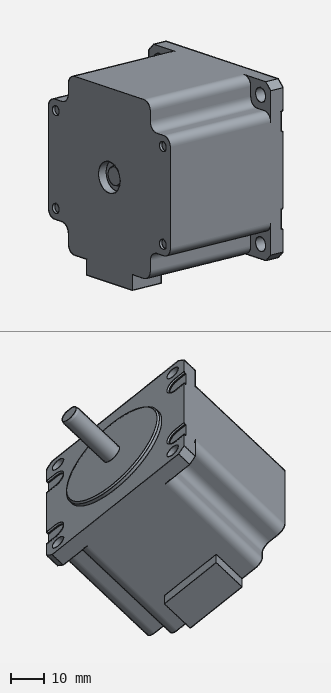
import cadquery as cq


total_length = 65.6
body_length = 45.0
flange_thickness = 5.0
pilot_height = 1.6
flange_rear = body_length - flange_thickness
pilot_front = body_length + pilot_height

frame_side = 56.4
half_side = frame_side / 2
frame_chamfer = 2.3

relief_depth = 9.25
relief_radius = 3.0

mount_spacing = 47.05
mount_diameter = 4.6

screw_spacing_x = 49.45
screw_spacing_z = 30.8
screw_hole_diameter = 3.1
screw_hole_depth = 1.0
screw_pocket_width = 6.15
screw_pocket_depth = 0.8
screw_pocket_chamfer = 0.45
bevel_angle = 45

pilot_diameter = 38.1
pilot_chamfer = 0.5

shaft_diameter = 6.35
shaft_radius = shaft_diameter / 2
shaft_chamfer_length = 1.0
shaft_chamfer_inset = 0.25
flat_length = 15.1
flat_depth = 0.5

recess_diameter = 9.9
recess_depth = 3.0

connector_width = 21.25
connector_length = 11.55
connector_drop = 5.0


def section(y):
    """Sketch plane across the motor axis at height y: X right, Z up, extruding toward -Y."""
    return cq.Workplane("XZ", origin=(0, y, 0))


def corner_relief(sign_x, sign_z):
    """Material removed at one corner of the body, with an S-shaped wall on either side."""
    wall = half_side - relief_depth
    tangent = wall - relief_radius
    bend = wall + relief_radius
    edge = half_side - relief_radius
    arc_mid = relief_radius * (1 - 0.5 ** 0.5)
    path = [
        (tangent, half_side),
        (wall - arc_mid, half_side - arc_mid),
        (wall, edge),
        (wall, bend),
        (wall + arc_mid, wall + arc_mid),
        (bend, wall),
        (edge, wall),
        (half_side - arc_mid, wall - arc_mid),
        (half_side, tangent),
    ]
    points = [(sign_x * x, sign_z * z) for x, z in path]
    return (
        section(flange_rear)
        .moveTo(*points[0])
        .threePointArc(points[1], points[2])
        .lineTo(*points[3])
        .threePointArc(points[4], points[5])
        .lineTo(*points[6])
        .threePointArc(points[7], points[8])
        .lineTo(sign_x * half_side, sign_z * half_side)
        .close()
        .extrude(flange_rear)
    )


def hole_pattern(spacing_x, spacing_z, diameter, y_start, y_end):
    """Four cylinders along Y at the corners of a rectangle centered on the motor axis."""
    return (
        section(y_end)
        .rect(spacing_x, spacing_z, forConstruction=True)
        .vertices()
        .circle(diameter / 2)
        .extrude(y_end - y_start)
    )


def frame():
    """Square body and flange with corner reliefs, screw pockets and all holes."""
    block = section(body_length).rect(frame_side, frame_side).extrude(body_length)
    block = block.edges("|Y").chamfer(frame_chamfer)
    for sign_x in (-1, 1):
        for sign_z in (-1, 1):
            block = block.cut(corner_relief(sign_x, sign_z))
            block = block.cut(screw_pocket(sign_x, sign_z))
    mount_holes = hole_pattern(mount_spacing, mount_spacing, mount_diameter, flange_rear, body_length)
    screw_holes = hole_pattern(screw_spacing_x, screw_spacing_z, screw_hole_diameter, 0, screw_hole_depth)
    recess = section(recess_depth).circle(recess_diameter / 2).extrude(recess_depth)
    return block.cut(mount_holes).cut(screw_holes).cut(recess)


def screw_pocket(sign_x, sign_z):
    """Round-ended pocket in the front face with a beveled rim, running out through the side."""
    run_out = screw_pocket_width
    center_x = sign_x * (screw_spacing_x + run_out) / 2
    center_z = sign_z * screw_spacing_z / 2
    slot_length = screw_pocket_width + run_out
    rim_growth = 2 * screw_pocket_chamfer
    front = section(body_length).center(center_x, center_z)
    pocket = front.slot2D(slot_length, screw_pocket_width).extrude(screw_pocket_depth)
    bevel = (
        front
        .slot2D(slot_length + rim_growth, screw_pocket_width + rim_growth)
        .extrude(screw_pocket_chamfer, taper=bevel_angle)
    )
    return pocket.union(bevel)


def pilot():
    radius = pilot_diameter / 2
    return (
        cq.Workplane("XY")
        .moveTo(0, body_length)
        .lineTo(radius, body_length)
        .lineTo(radius, pilot_front - pilot_chamfer)
        .lineTo(radius - pilot_chamfer, pilot_front)
        .lineTo(0, pilot_front)
        .close()
        .revolve(360, (0, 0, 0), (0, 1, 0))
    )


def shaft():
    """Full-length shaft, tapered at both ends, with a flat on top at the front."""
    rear_end = recess_depth - shaft_chamfer_length
    end_radius = shaft_radius - shaft_chamfer_inset
    rod = (
        cq.Workplane("XY")
        .moveTo(0, rear_end)
        .lineTo(end_radius, rear_end)
        .lineTo(shaft_radius, recess_depth)
        .lineTo(shaft_radius, total_length - shaft_chamfer_length)
        .lineTo(end_radius, total_length)
        .lineTo(0, total_length)
        .close()
        .revolve(360, (0, 0, 0), (0, 1, 0))
    )
    flat = (
        section(total_length)
        .center(0, shaft_radius - flat_depth / 2)
        .rect(shaft_diameter, flat_depth)
        .extrude(flat_length)
    )
    return rod.cut(flat)


def connector():
    return (
        section(connector_length)
        .center(0, -half_side - connector_drop / 2)
        .rect(connector_width, connector_drop)
        .extrude(connector_length)
    )


result = frame().union(connector()).union(pilot()).union(shaft())